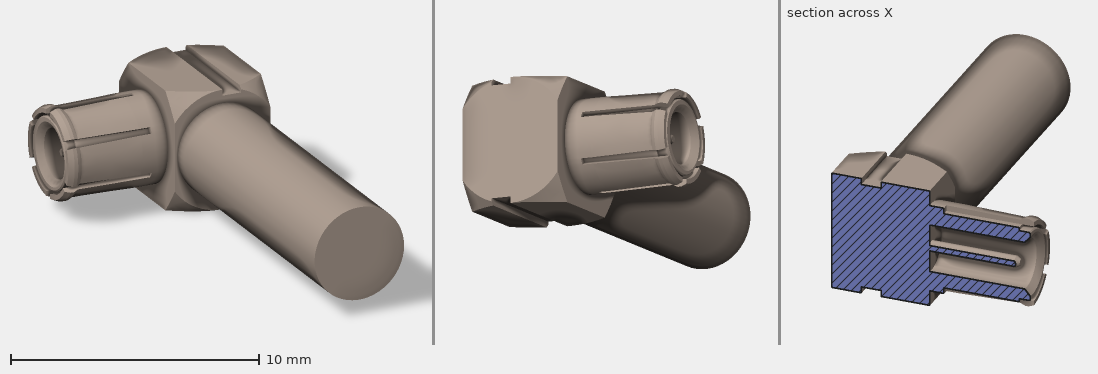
import cadquery as cq

BLOCK_SIDE = 5.19
BLOCK_DEPTH = 4.27
CORNER_CONE_DIAMETER = BLOCK_SIDE
CORNER_CONE_SLOPE = 1.15
GROOVE_WIDTH = 0.84
GROOVE_DEPTH = 0.27
GROOVE_CENTRE_Y = 0.41

TOTAL_LENGTH = 17.88
CABLE_DIAMETER = 4.0
CABLE_LENGTH = TOTAL_LENGTH - BLOCK_SIDE

PLUG_LENGTH = 4.42
SLEEVE_BASE_DIAMETER = 3.88
SLEEVE_END_DIAMETER = 3.77
SLEEVE_BASE_END = 1.13
RIM_DIAMETER = 3.97
RIM_START = PLUG_LENGTH - 0.59
RIM_FLAT_START = PLUG_LENGTH - 0.4
RIM_FLAT_END = PLUG_LENGTH - 0.23

SLOT_COUNT = 6
SLOT_START = 0.63
SLOT_ROOT_WIDTH = 0.27
SLOT_END_WIDTH = 0.38

TUBE_DIAMETER = 3.38
NOSE_DIAMETER = 3.11
NOSE_END_DIAMETER = 3.0
NOSE_START = PLUG_LENGTH - 0.52
NOSE_END = PLUG_LENGTH - 0.04
NOSE_CHAMFER_START = NOSE_END - 0.05

SOCKET_OFFSET_X = 0.09
SOCKET_MOUTH_DIAMETER = 2.7
SOCKET_DIAMETER = 2.13
SOCKET_CONE_DEPTH = 0.25
PIN_DIAMETER = 0.5
PIN_TIP_DIAMETER = 0.27
PIN_TIP_LENGTH = 0.2
PIN_END = NOSE_END - 0.5


def turned_about_plug_axis(profile, offset_x=0.0):
    """Revolve (radius, distance from the block face) points about an axis pointing to -Y."""
    face_y = -BLOCK_DEPTH / 2
    outline = [(offset_x + radius, face_y - distance) for radius, distance in profile]
    return (
        cq.Workplane("XY")
        .polyline(outline)
        .close()
        .revolve(360, (offset_x, 0, 0), (offset_x, 1, 0))
    )


def make_block():
    """Block with conical corner chamfers at both X ends and a groove across top and bottom."""
    half_side = BLOCK_SIDE / 2
    end_radius = CORNER_CONE_DIAMETER / 2
    middle_radius = end_radius + half_side / CORNER_CONE_SLOPE
    double_cone = (
        cq.Workplane("XY")
        .polyline([
            (-half_side, 0),
            (-half_side, end_radius),
            (0, middle_radius),
            (half_side, end_radius),
            (half_side, 0),
        ])
        .close()
        .revolve(360, (0, 0, 0), (1, 0, 0))
    )
    block = cq.Workplane("XY").box(BLOCK_SIDE, BLOCK_DEPTH, BLOCK_SIDE).intersect(double_cone)
    grooves = (
        cq.Workplane("XY", origin=(0, GROOVE_CENTRE_Y, 0))
        .box(BLOCK_SIDE, GROOVE_WIDTH, BLOCK_SIDE)
        .cut(cq.Workplane("XY").box(BLOCK_SIDE, BLOCK_DEPTH, BLOCK_SIDE - 2 * GROOVE_DEPTH))
    )
    return block.cut(grooves)


def make_slot(angle):
    """Radial cutter for one slot, straight along the sleeve base and then widening to the end."""
    face_y = -BLOCK_DEPTH / 2
    half_root = SLOT_ROOT_WIDTH / 2
    half_end = SLOT_END_WIDTH / 2
    return (
        cq.Workplane("XY")
        .polyline([
            (-half_root, face_y - SLOT_START),
            (-half_root, face_y - SLEEVE_BASE_END),
            (-half_end, face_y - PLUG_LENGTH),
            (half_end, face_y - PLUG_LENGTH),
            (half_root, face_y - SLEEVE_BASE_END),
            (half_root, face_y - SLOT_START),
        ])
        .close()
        .extrude(RIM_DIAMETER)
        .rotate((0, 0, 0), (0, 1, 0), angle)
    )


def make_sleeve():
    """Sleeve around the inner tube with a raised rim, slotted into spring fingers."""
    tube_radius = TUBE_DIAMETER / 2
    sleeve = turned_about_plug_axis([
        (tube_radius, 0),
        (SLEEVE_BASE_DIAMETER / 2, 0),
        (SLEEVE_BASE_DIAMETER / 2, SLEEVE_BASE_END),
        (SLEEVE_END_DIAMETER / 2, RIM_START),
        (RIM_DIAMETER / 2, RIM_FLAT_START),
        (RIM_DIAMETER / 2, RIM_FLAT_END),
        (SLEEVE_END_DIAMETER / 2, PLUG_LENGTH),
        (tube_radius, PLUG_LENGTH),
    ])
    for index in range(SLOT_COUNT):
        sleeve = sleeve.cut(make_slot(index * 360 / SLOT_COUNT))
    return sleeve


def make_inner_tube():
    """Tube inside the sleeve with a narrower chamfered nose, bored as the socket."""
    tube_radius = TUBE_DIAMETER / 2
    nose_radius = NOSE_DIAMETER / 2
    tube = turned_about_plug_axis([
        (0, 0),
        (tube_radius, 0),
        (tube_radius, NOSE_START),
        (nose_radius, NOSE_START),
        (nose_radius, NOSE_CHAMFER_START),
        (NOSE_END_DIAMETER / 2, NOSE_END),
        (0, NOSE_END),
    ])
    socket = turned_about_plug_axis([
        (0, 0),
        (SOCKET_DIAMETER / 2, 0),
        (SOCKET_DIAMETER / 2, NOSE_END - SOCKET_CONE_DEPTH),
        (SOCKET_MOUTH_DIAMETER / 2, NOSE_END),
        (0, NOSE_END),
    ], SOCKET_OFFSET_X)
    return tube.cut(socket)


def make_pin():
    """Contact pin with a tapered tip, standing on the socket floor."""
    return turned_about_plug_axis([
        (0, 0),
        (PIN_DIAMETER / 2, 0),
        (PIN_DIAMETER / 2, PIN_END - PIN_TIP_LENGTH),
        (PIN_TIP_DIAMETER / 2, PIN_END),
        (0, PIN_END),
    ], SOCKET_OFFSET_X)


def make_connector():
    """Block, sleeve, inner tube and pin as one solid."""
    return make_block().union(make_sleeve()).union(make_inner_tube()).union(make_pin())


def make_cable():
    """Plain round cable that butts against the +X face of the block."""
    return (
        cq.Workplane("YZ")
        .workplane(offset=BLOCK_SIDE / 2)
        .circle(CABLE_DIAMETER / 2)
        .extrude(CABLE_LENGTH)
    )


connector = make_connector()
cable = make_cable()
result = cq.Compound.makeCompound([connector.val(), cable.val()])